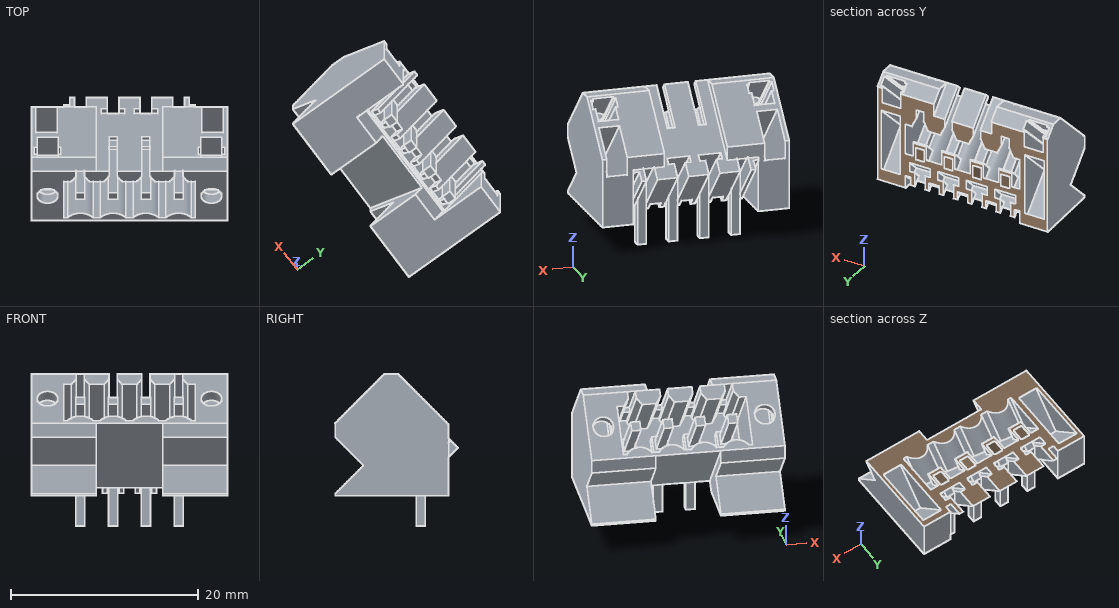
import cadquery as cq
import math

pin_count = 4
pitch = 3.5
tilt = 45

width = 20.95
depth = 12.12
height = 13.0
center_width = 7.05
foot_width = (width - center_width) / 2

crest_front_y = -6.86
crest_back_y = -5.375
notch_y = -9.09
notch_z = 3.24

header_top = 3.9
header_bottom = -3.56
header_middle = (header_top + header_bottom) / 2
header_depth = 9.69

cavity_width = pin_count * pitch
cavity_depth = 8.0
cavity_top = 2.32
cavity_bottom = -3.12
rib_radius = 1.7
rib_height = 0.68

keyway_mouth = 1.94
keyway_slot = 0.87
keyway_neck = 3.12
keyway_roof = 3.38
key_opening_depth = 5.22

collar_width = 1.65
collar_height = 1.8
collar_rise = 1.29

plate_width = cavity_width
plate_depth = 10.02
plate_bottom = -3.25
rail_depth = 11.14
rail_width = 0.53
rail_bottom = -2.99
rail_web_bottom = -2.0
slot_width = 1.23
slot_floor = 8.74
slot_wing_width = 2.5
slot_wing_depth = 9.46

screw_x = (pin_count + 1) * pitch / 2
screw_diameter = 2.2
clearance = 0.5
pocket_bottom = -2.97
nut_width = 2.24
nut_front = 1.35
nut_back = 4.07
nut_wing_width = 2.78
nut_wing_front = 1.52
nut_wing_back = 2.57
rear_pocket_x = 8.85
rear_pocket_width = 2.3
rear_pocket_front = 4.83
rear_pocket_back = plate_depth

pin_size = 1.0
pin_tip_depth = 0.14
leg_y = -2.97
leg_length = 3.23

lean = math.radians(tilt)
mouth_offset = (height - crest_front_y) * math.cos(lean)
axis_offset = (height + crest_front_y) * math.cos(lean) - header_top
foot_top = (height + crest_back_y) * math.cos(lean) - axis_offset
origin_y = (axis_offset - mouth_offset) * math.cos(lean)
origin_z = (axis_offset + mouth_offset) * math.cos(lean)

pin_xs = [(i - (pin_count - 1) / 2) * pitch for i in range(pin_count)]


def block(x_center, x_width, y_low, y_high, front, back):
    """Box in the header frame, between two depths behind the mating face."""
    box = cq.Workplane("XY").box(x_width, y_high - y_low, back - front, centered=(True, False, False))
    return box.translate((x_center, y_low, -back))


def tilted(shape):
    """Move a shape from the header frame to its place in the part."""
    return shape.rotate((0, 0, 0), (1, 0, 0), tilt).translate((0, origin_y, origin_z))


def foot(x_start):
    """Side block with the pointed crest and the V notch in its front."""
    crest_to_back = -crest_back_y
    crest_to_front = depth + crest_front_y
    notch_reach = depth + notch_y
    outline = [
        (0, 0),
        (-depth, 0),
        (-depth, notch_z - notch_reach),
        (notch_y, notch_z),
        (-depth, notch_z + notch_reach),
        (-depth, height - crest_to_front),
        (crest_front_y, height),
        (crest_back_y, height),
        (0, height - crest_to_back),
    ]
    return cq.Workplane("YZ").polyline(outline).close().extrude(foot_width).translate((x_start, 0, 0))


def rear_relief():
    """Space behind the header, between the outer cheeks of the feet, where the legs drop."""
    return block(0, plate_width, -height, header_top, header_depth, header_depth + height)


def rear_plate():
    """Plate across the back with a guide rail on each side of every pin and webs between pins."""
    plate = block(0, plate_width, plate_bottom, header_top, slot_floor, plate_depth)
    for x in pin_xs:
        for side in (-1, 1):
            rail_x = x + side * (slot_width + rail_width) / 2
            plate = plate.union(block(rail_x, rail_width, rail_bottom, header_top, slot_floor, rail_depth))
    web_width = pitch - slot_width
    for x in pin_xs[:-1]:
        web_x = x + pitch / 2
        plate = plate.union(block(web_x, web_width, rail_web_bottom, header_top, slot_floor, rail_depth))
    return plate


def pin_slot(x):
    """T slot that lets a pin in from the back."""
    slot = block(x, slot_width, rail_bottom, header_top, slot_floor, rail_depth)
    return slot.union(block(x, slot_wing_width, rail_bottom, header_top, slot_floor, slot_wing_depth))


def plug_cavity():
    """Space for the plug: ribbed floor side, keyways above, a collar left around each pin."""
    cavity = block(0, cavity_width, cavity_bottom, cavity_top, 0, cavity_depth)
    rib_center = cavity_bottom + rib_height - rib_radius
    half_mouth = keyway_mouth / 2
    half_slot = keyway_slot / 2
    for x in pin_xs:
        rib = cq.Workplane("XY").center(x, rib_center).circle(rib_radius).extrude(-cavity_depth)
        collar = block(x, collar_width, -collar_height / 2, collar_height / 2,
                       cavity_depth - collar_rise, cavity_depth)
        keyway = (
            cq.Workplane("XY")
            .polyline([
                (x - half_mouth, cavity_top),
                (x + half_mouth, cavity_top),
                (x + half_slot, keyway_neck),
                (x + half_slot, keyway_roof),
                (x - half_slot, keyway_roof),
                (x - half_slot, keyway_neck),
            ])
            .close()
            .extrude(-cavity_depth)
        )
        opening = block(x, keyway_slot, keyway_neck, header_top, 0, key_opening_depth)
        cavity = cavity.cut(rib).cut(collar).union(keyway).union(opening)
    return cavity


def flange_cuts(side):
    """Screw hole, winged nut pocket and rear pocket of one flange."""
    x = side * screw_x
    cuts = cq.Workplane("XY").center(x, header_middle).circle(screw_diameter / 2).extrude(-nut_back)
    pocket_top = foot_top + clearance
    cuts = cuts.union(block(x, nut_width, pocket_bottom, pocket_top, nut_front, nut_back))
    cuts = cuts.union(block(x, nut_wing_width, pocket_bottom, pocket_top, nut_wing_front, nut_wing_back))
    rear = block(side * rear_pocket_x, rear_pocket_width, pocket_bottom, pocket_top,
                 rear_pocket_front, rear_pocket_back)
    return cuts.union(rear)


def make_pin(x):
    """Square pin: a tilted contact mitred into a vertical solder leg."""
    half = pin_size / 2
    bend_depth = (leg_y - origin_y) / math.sin(lean)
    bend_z = origin_z - bend_depth * math.cos(lean)
    tip_y = origin_y + pin_tip_depth * math.sin(lean)
    tip_z = origin_z - pin_tip_depth * math.cos(lean)
    across_y = half * math.cos(lean)
    across_z = half * math.sin(lean)
    mitre_z = half * math.tan(lean / 2)
    outline = [
        (leg_y - half, -leg_length),
        (leg_y + half, -leg_length),
        (leg_y + half, bend_z + mitre_z),
        (tip_y + across_y, tip_z + across_z),
        (tip_y - across_y, tip_z - across_z),
        (leg_y - half, bend_z - mitre_z),
    ]
    return cq.Workplane("YZ").polyline(outline).close().extrude(half, both=True).translate((x, 0, 0))


pins = [make_pin(x) for x in pin_xs]

housing = tilted(block(0, center_width, header_bottom, header_top, 0, header_depth))
for foot_start in (-width / 2, center_width / 2):
    housing = housing.union(foot(foot_start))
housing = housing.cut(tilted(rear_relief())).union(tilted(rear_plate()))
for pin_x in pin_xs:
    housing = housing.cut(tilted(pin_slot(pin_x)))
housing = housing.cut(tilted(plug_cavity()))
for flange_side in (-1, 1):
    housing = housing.cut(tilted(flange_cuts(flange_side)))
for pin in pins:
    housing = housing.cut(pin)

result = cq.Compound.makeCompound([*housing.solids().vals(), *[pin.val() for pin in pins]])